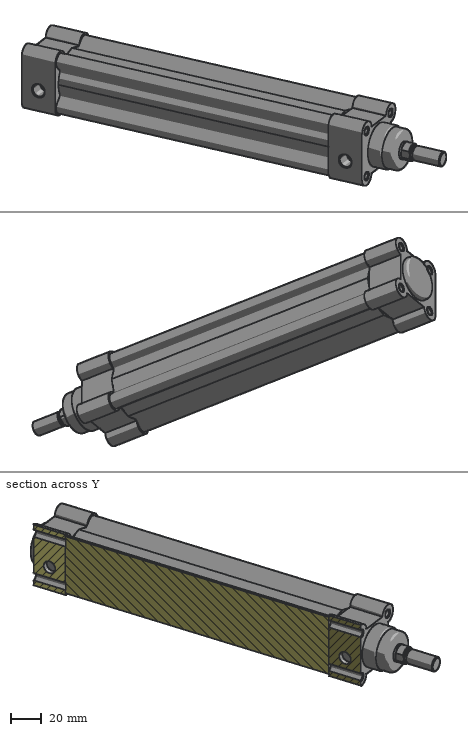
import cadquery as cq
import math

rear_boss_length = 4.0
cap_length = 25.0
front_face = 258.0
rod_end = 306.0
rear_cap_end = rear_boss_length + cap_length
front_cap_start = front_face - cap_length

cap_width = 45.5
screw_spacing = 32.5
screw_offset = screw_spacing / 2
corner_radius = (cap_width - screw_spacing) / 2
cap_core_width = 33.7
cap_flat_side = -cap_width / 2
screw_hole_diameter = 5.0
screw_hole_chamfer = 0.5
port_diameter = 8.5
port_chamfer = 0.5
port_depth = 10.0
port_height = -5.5
boss_diameter = 30.0
boss_fillet = 2.5

collar_length = 10.0
collar_fillet = 1.2
nose_diameter = 28.0
nose_length = 8.3
nose_fillet = 2.0
lip_diameter = 12.2
lip_length = 1.5
collar_end = front_face + collar_length
nose_end = collar_end + nose_length
lip_end = nose_end + lip_length

rib_count = 4
barrel_radius = 18.5
ridge_slope = 13
rib_width = 10.5
rib_fillet = 1.8

rod_diameter = 12.0
rod_shoulder = 284.0
rod_chamfer = 0.5
flats_width = 10.7
neck_length = 1.2
thread_diameter = 10.0
thread_chamfer = 0.5
neck_diameter = thread_diameter - 2 * thread_chamfer


def disc(x_start, x_end, diameter):
    """Cylinder on the X axis."""
    return cq.Workplane("YZ").workplane(offset=x_start).circle(diameter / 2).extrude(x_end - x_start)


def chamfered_hole(mouth, inward, diameter, chamfer, depth):
    """Cutter for a round hole that widens by a chamfer at its mouth."""
    radius = diameter / 2
    mouth = cq.Vector(*mouth)
    inward = cq.Vector(*inward)
    hole = cq.Solid.makeCylinder(radius, depth, mouth, inward)
    flare = cq.Solid.makeCone(radius + chamfer, radius, chamfer, mouth, inward)
    return cq.Workplane(hole).union(cq.Workplane(flare))


def make_screw_hole(x_start, outward):
    """Cutter for a through hole on the X axis, chamfered on the cap's outer face."""
    outer_face = x_start if outward < 0 else x_start + cap_length
    return chamfered_hole(
        (outer_face, 0, 0), (-outward, 0, 0), screw_hole_diameter, screw_hole_chamfer, cap_length
    )


def make_cap_block(x_start, outward):
    """Cap block with four round corners, a flat -Y side, corner screw holes and a port."""
    plane = cq.Workplane("YZ").workplane(offset=x_start)
    corners = [(y, z) for y in (-screw_offset, screw_offset) for z in (-screw_offset, screw_offset)]

    block = plane.rect(cap_core_width, cap_core_width).extrude(cap_length)
    block = block.union(plane.pushPoints(corners).circle(corner_radius).extrude(cap_length))
    side = (
        plane.center(cap_flat_side / 2, 0)
        .rect(abs(cap_flat_side), screw_spacing)
        .extrude(cap_length)
    )
    block = block.union(side)
    for y, z in corners:
        block = block.cut(make_screw_hole(x_start, outward).translate((0, y, z)))
    port_mouth = (x_start + cap_length / 2, cap_flat_side, port_height)
    port = chamfered_hole(port_mouth, (0, 1, 0), port_diameter, port_chamfer, port_depth)
    return block.cut(port)


def make_rear_cap():
    """Cap with a round boss on its closed end."""
    boss = disc(0, rear_boss_length, boss_diameter).faces("<X").edges().fillet(boss_fillet)
    return make_cap_block(rear_boss_length, -1).union(boss)


def make_front_cap():
    """Cap with a stepped collar and a wiper lip for the rod."""
    collar = disc(front_face, collar_end, boss_diameter).faces(">X").edges().fillet(collar_fillet)
    nose = disc(front_face, nose_end, nose_diameter).faces(">X").edges().fillet(nose_fillet)
    lip = disc(nose_end, lip_end, lip_diameter)
    return make_cap_block(front_cap_start, 1).union(collar).union(nose).union(lip)


def polar(radius, angle):
    """Point at a radius and angle about the axis."""
    return radius * math.cos(angle), radius * math.sin(angle)


def turned(point, angle):
    """Point turned about the axis."""
    y, z = point
    return (
        y * math.cos(angle) - z * math.sin(angle),
        y * math.sin(angle) + z * math.cos(angle),
    )


def mirrored(point):
    """Point on the other side of the first axis."""
    return point[0], -point[1]


def make_barrel():
    """Round core with a V ridge on each side and a lobed rib on each diagonal."""
    eighth_turn = math.pi / rib_count
    ridge_angle = math.radians(ridge_slope)
    ridge_height = barrel_radius / math.cos(ridge_angle)
    rib_half_width = rib_width / 2
    fillet_centre_side = rib_half_width + rib_fillet
    fillet_angle = math.asin(fillet_centre_side / (barrel_radius + rib_fillet))
    fillet_centre_out = (barrel_radius + rib_fillet) * math.cos(fillet_angle)
    lobe_centre = screw_offset * math.sqrt(2)

    ridge = polar(ridge_height, -eighth_turn)
    ridge_tangent = polar(barrel_radius, ridge_angle - eighth_turn)
    core_middle = polar(barrel_radius, (ridge_angle - eighth_turn - fillet_angle) / 2)
    fillet_start = polar(barrel_radius, -fillet_angle)
    fillet_middle_angle = (math.pi - fillet_angle + math.pi / 2) / 2
    fillet_step = polar(rib_fillet, fillet_middle_angle)
    fillet_middle = (fillet_centre_out + fillet_step[0], fillet_step[1] - fillet_centre_side)
    fillet_end = (fillet_centre_out, -rib_half_width)
    lobe_start = (lobe_centre, -rib_half_width)
    lobe_tip = (lobe_centre + rib_half_width, 0)

    outline = cq.Workplane("YZ").workplane(offset=rear_cap_end).moveTo(*turned(ridge, eighth_turn))
    for rib in range(rib_count):
        angle = eighth_turn + 2 * rib * eighth_turn

        def at(point):
            return turned(point, angle)

        outline = (
            outline.lineTo(*at(ridge_tangent))
            .threePointArc(at(core_middle), at(fillet_start))
            .threePointArc(at(fillet_middle), at(fillet_end))
            .lineTo(*at(lobe_start))
            .threePointArc(at(lobe_tip), at(mirrored(lobe_start)))
            .lineTo(*at(mirrored(fillet_end)))
            .threePointArc(at(mirrored(fillet_middle)), at(mirrored(fillet_start)))
            .threePointArc(at(mirrored(core_middle)), at(mirrored(ridge_tangent)))
        )
        if rib < rib_count - 1:
            outline = outline.lineTo(*at(mirrored(ridge)))
    return outline.close().extrude(front_cap_start - rear_cap_end)


def make_rod():
    """Piston rod with two wrench flats, an undercut neck and a chamfered thread end."""
    neck_end = rod_shoulder + neck_length
    shank = disc(lip_end, rod_shoulder, rod_diameter).faces(">X").chamfer(rod_chamfer)
    for side in (-1, 1):
        cut = cq.Workplane().box(
            rod_shoulder - lip_end, rod_diameter, rod_diameter, centered=(False, True, True)
        )
        shank = shank.cut(cut.translate((lip_end, side * (flats_width + rod_diameter) / 2, 0)))
    neck = disc(rod_shoulder, neck_end, neck_diameter)
    thread = disc(neck_end, rod_end, thread_diameter).faces("<X or >X").chamfer(thread_chamfer)
    return shank.union(neck).union(thread)


rear_cap = make_rear_cap()
barrel = make_barrel()
front_cap = make_front_cap()
rod = make_rod()

result = cq.Compound.makeCompound([rear_cap.val(), barrel.val(), front_cap.val(), rod.val()])